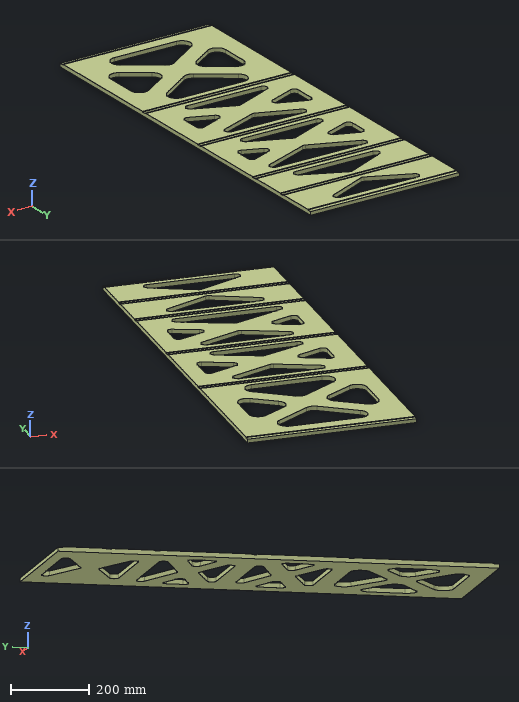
import cadquery as cq

LENGTH = 1156.0
WIDTH = 458.0
THICKNESS = 13.0

STRIP_WIDTH = 13.0
STRIP_DEPTH = 1.7
PANEL_UNITS = [1, 1, 2, 2, 3]
PITCH = (LENGTH - STRIP_WIDTH) / sum(PANEL_UNITS)

EDGE_MARGIN = 20.0
END_MARGIN = 38.0
SMALL_RADIUS = 12.0
LARGE_RADIUS = 25.0

FIRST_WINDOW_SHIFT = -2.0
WIDEST_WINDOW_SHIFT = 7.0
LEFT_WINDOW_DROP = 3.0
RIGHT_WINDOW_DROP = 6.0

UPPER_LEFT_FLAT = -177.0
UPPER_RIGHT_FLAT = 173.0
LOWER_LEFT_FLAT = -180.0
LOWER_RIGHT_FLAT = 170.0
LONG_LEFT_FLAT = -170.0
LONG_RIGHT_FLAT = 179.0

UP = (0, 1)
DOWN = (0, -1)
LEFT = (-1, 0)
RIGHT = (1, 0)


def strip_top(index):
    """Y of the +Y edge of a strip, counted from the +Y end."""
    return LENGTH / 2 - PITCH * sum(PANEL_UNITS[:index])


def panel_top(index):
    """Y of the +Y edge of a panel, just below its strip."""
    return strip_top(index) - STRIP_WIDTH


def panel_bottom(index):
    """Y of the -Y edge of a panel, where the next strip starts."""
    return strip_top(index + 1)


def panel_middle(index):
    """Y halfway along a panel."""
    return (panel_top(index) + panel_bottom(index)) / 2


def window(flat_middle, direction, span, height, radius):
    """Through cutter: an isosceles triangle with rounded corners.

    The span runs along the flat side and the height from there to the tip,
    both measured over the rounded corners.
    """
    x, y = flat_middle
    along_x, along_y = direction
    half = span / 2 - radius

    def corner_center(rise, offset):
        return (x + along_x * rise - along_y * offset, y + along_y * rise + along_x * offset)

    centers = [
        corner_center(radius, half),
        corner_center(radius, -half),
        corner_center(height - radius, 0),
    ]
    return (
        cq.Workplane("XY")
        .polyline(centers)
        .close()
        .offset2D(radius, "arc")
        .extrude(THICKNESS)
    )


def short_panel_windows():
    """One wide window in each short panel, tips facing each other."""
    upper_flat = panel_top(0) - EDGE_MARGIN
    lower_flat = panel_bottom(1) + EDGE_MARGIN
    return [
        window((FIRST_WINDOW_SHIFT, upper_flat), DOWN, span=260.0, height=76.0, radius=SMALL_RADIUS),
        window((0, lower_flat), UP, span=262.0, height=77.0, radius=SMALL_RADIUS),
    ]


def upper_middle_windows():
    """Four windows leaving an X brace; the upper one is the widest."""
    upper_flat = panel_top(2) - EDGE_MARGIN
    lower_flat = panel_bottom(2) + EDGE_MARGIN
    left_y = panel_middle(2) - LEFT_WINDOW_DROP
    right_y = panel_middle(2) - RIGHT_WINDOW_DROP
    return [
        window((WIDEST_WINDOW_SHIFT, upper_flat), DOWN, span=297.0, height=77.0, radius=SMALL_RADIUS),
        window((0, lower_flat), UP, span=248.0, height=70.0, radius=SMALL_RADIUS),
        window((UPPER_LEFT_FLAT, left_y), RIGHT, span=74.0, height=89.0, radius=SMALL_RADIUS),
        window((UPPER_RIGHT_FLAT, right_y), LEFT, span=67.0, height=77.0, radius=SMALL_RADIUS),
    ]


def lower_middle_windows():
    """Four windows leaving an X brace."""
    upper_flat = panel_top(3) - EDGE_MARGIN
    lower_flat = panel_bottom(3) + EDGE_MARGIN
    side_y = panel_middle(3)
    return [
        window((0, upper_flat), DOWN, span=248.0, height=67.0, radius=SMALL_RADIUS),
        window((0, lower_flat), UP, span=248.0, height=70.0, radius=SMALL_RADIUS),
        window((LOWER_LEFT_FLAT, side_y), RIGHT, span=83.0, height=98.0, radius=SMALL_RADIUS),
        window((LOWER_RIGHT_FLAT, side_y), LEFT, span=76.0, height=88.0, radius=SMALL_RADIUS),
    ]


def long_panel_windows():
    """Four larger windows leaving an X brace."""
    upper_flat = panel_top(4) - EDGE_MARGIN
    lower_flat = panel_bottom(4) + END_MARGIN
    side_y = (upper_flat + lower_flat) / 2
    return [
        window((0, upper_flat), DOWN, span=242.0, height=115.0, radius=LARGE_RADIUS),
        window((0, lower_flat), UP, span=242.0, height=115.0, radius=LARGE_RADIUS),
        window((LONG_LEFT_FLAT, side_y), RIGHT, span=134.0, height=113.0, radius=LARGE_RADIUS),
        window((LONG_RIGHT_FLAT, side_y), LEFT, span=145.0, height=121.0, radius=LARGE_RADIUS),
    ]


def strip_recess(index):
    """Cutter for the shallow recess of one strip, across the full width."""
    center_y = strip_top(index) - STRIP_WIDTH / 2
    return (
        cq.Workplane("XY", origin=(0, center_y, THICKNESS - STRIP_DEPTH))
        .rect(WIDTH, STRIP_WIDTH)
        .extrude(STRIP_DEPTH)
    )


plate = cq.Workplane("XY").rect(WIDTH, LENGTH).extrude(THICKNESS)

for strip_index in range(len(PANEL_UNITS) + 1):
    plate = plate.cut(strip_recess(strip_index))

for panel_windows in (short_panel_windows, upper_middle_windows, lower_middle_windows, long_panel_windows):
    for cutter in panel_windows():
        plate = plate.cut(cutter)

result = plate